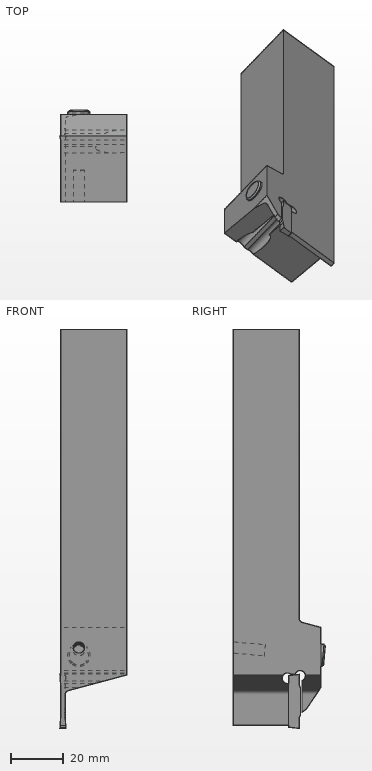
import cadquery as cq
import math

TOP_Z = 152.4
SHANK_SIDE = 25.3
HOLDER_BOTTOM_Z = 1.2
JAW_BACK_Y = 33.5
SLOPE_ANGLE = 15.0
SHOULDER_Z = 40.8
JAW_CORNER_Z = 15.7
JAW_NOSE_Y = 28.0
JAW_NOSE_Z = 7.5
JAW_TIP_Z = 6.1
HEAD_FILLET = 1.5

BLADE_THICKNESS = 1.8
UNDERSIDE_Z = 20.4

SEAT_Y = 21.2
JAW_GRIP_Y = 26.2
SEAT_TOP_Z = 20.7
RELIEF_RADIUS = 2.0
RELIEF_CENTERS = [(20.7, 19.2), (25.6, 20.1)]

SCREW_X = 7.0
SCREW_HOLE_Z = 31.0
SCREW_TILT = 5.0
SCREW_HOLE_RADIUS = 2.1
SCREW_HOLE_DEPTH = 12.2
SCREW_HEAD_RADIUS = 4.3
SCREW_HEAD_HEIGHT = 3.8
SCREW_HEAD_TOP = 35.0
SCREW_HEAD_CHAMFER = 0.6

EDGE_Y = 25.3
INSERT_BACK_Y = 25.8
INSERT_CLEARANCE_Z = 0.5
INSERT_STEP_START = 4.1
INSERT_STEP_END = 5.2
FLARE_OVERHANG = 0.3
FLARE_DEPTH_Y = 1.7

SLOPE = math.tan(math.radians(SLOPE_ANGLE))


def side_prism(points, x_start, x_end):
    """Extrude an outline given as (y, z) points from x_start to x_end."""
    plane = cq.Workplane("YZ", origin=(x_start, 0, 0))
    return plane.polyline(points).close().extrude(x_end - x_start)


def make_blank():
    shoulder_edge_z = SHOULDER_Z - (JAW_BACK_Y - SHANK_SIDE) * SLOPE
    profile = [
        (0, HOLDER_BOTTOM_Z),
        (SEAT_Y, HOLDER_BOTTOM_Z),
        (JAW_GRIP_Y, JAW_TIP_Z),
        (JAW_NOSE_Y, JAW_NOSE_Z),
        (JAW_BACK_Y, JAW_CORNER_Z),
        (JAW_BACK_Y, shoulder_edge_z),
        (SHANK_SIDE, SHOULDER_Z),
        (SHANK_SIDE, TOP_Z),
        (0, TOP_Z),
    ]
    blank = side_prism(profile, 0, SHANK_SIDE)
    shoulder_point = (SHANK_SIDE / 2, SHANK_SIDE, SHOULDER_Z)
    return blank.edges(cq.selectors.NearestToPointSelector(shoulder_point)).fillet(HEAD_FILLET)


def make_blade_clearance():
    """Block below the sloping underside that leaves the blade."""
    root_z = UNDERSIDE_Z - (SHANK_SIDE - BLADE_THICKNESS) * SLOPE
    outline = [
        (BLADE_THICKNESS, 0),
        (SHANK_SIDE, 0),
        (SHANK_SIDE, UNDERSIDE_Z),
        (BLADE_THICKNESS, root_z),
    ]
    block = cq.Workplane("XZ").polyline(outline).close().extrude(-JAW_BACK_Y)
    root_point = (BLADE_THICKNESS, JAW_BACK_Y / 2, root_z)
    return block.edges(cq.selectors.NearestToPointSelector(root_point)).fillet(HEAD_FILLET)


def make_insert_pocket():
    pocket = side_prism(
        [(SEAT_Y, 0), (JAW_GRIP_Y, 0), (JAW_GRIP_Y, SEAT_TOP_Z), (SEAT_Y, SEAT_TOP_Z)], 0, SHANK_SIDE
    )
    holes = cq.Workplane("YZ").pushPoints(RELIEF_CENTERS).circle(RELIEF_RADIUS).extrude(SHANK_SIDE)
    return pocket.union(holes)


def screw_plane():
    """Plane on the front face, with its normal along the tilted screw axis."""
    tilt = math.radians(SCREW_TILT)
    return cq.Plane(
        origin=(SCREW_X, 0, SCREW_HOLE_Z),
        xDir=(1, 0, 0),
        normal=(0, math.cos(tilt), -math.sin(tilt)),
    )


def make_screw_hole():
    start = cq.Workplane(screw_plane()).workplane(offset=-SCREW_HOLE_RADIUS)
    return start.circle(SCREW_HOLE_RADIUS).extrude(SCREW_HOLE_DEPTH + SCREW_HOLE_RADIUS)


def make_screw_head():
    base = cq.Workplane(screw_plane()).workplane(offset=SCREW_HEAD_TOP - SCREW_HEAD_HEIGHT)
    head = base.circle(SCREW_HEAD_RADIUS).extrude(SCREW_HEAD_HEIGHT)
    return head.faces(">Y").chamfer(SCREW_HEAD_CHAMFER)


def make_holder():
    holder = make_blank().cut(make_blade_clearance()).cut(make_insert_pocket())
    return holder.cut(make_screw_hole()).union(make_screw_head())


def make_flare(side_x, tip_x):
    """Three-sided flare on one side of the lower end, highest at the cutting corner."""
    root_y = EDGE_Y - FLARE_DEPTH_Y
    root_z = INSERT_CLEARANCE_Z * FLARE_DEPTH_Y / (EDGE_Y - SEAT_Y)
    tip = cq.Vector(tip_x, EDGE_Y, 0)
    corner = cq.Vector(side_x, EDGE_Y, 0)
    front = cq.Vector(side_x, root_y, root_z)
    top = cq.Vector(side_x, EDGE_Y, INSERT_STEP_START)
    triangles = [
        (corner, front, top),
        (corner, front, tip),
        (corner, top, tip),
        (front, top, tip),
    ]
    faces = [cq.Face.makeFromWires(cq.Wire.makePolygon(points, close=True)) for points in triangles]
    return cq.Workplane(cq.Solid.makeSolid(cq.Shell.makeShell(faces)))


def make_insert():
    outline = [
        (SEAT_Y, INSERT_CLEARANCE_Z),
        (EDGE_Y, 0),
        (EDGE_Y, INSERT_STEP_START),
        (INSERT_BACK_Y, INSERT_STEP_END),
        (INSERT_BACK_Y, SEAT_TOP_Z - INSERT_STEP_END),
        (EDGE_Y, SEAT_TOP_Z - INSERT_STEP_START),
        (EDGE_Y, SEAT_TOP_Z),
        (SEAT_Y, SEAT_TOP_Z - INSERT_CLEARANCE_Z),
    ]
    insert = side_prism(outline, 0, BLADE_THICKNESS)
    flare_sides = [(0, -FLARE_OVERHANG), (BLADE_THICKNESS, BLADE_THICKNESS + FLARE_OVERHANG)]
    for side_x, tip_x in flare_sides:
        lower_flare = make_flare(side_x, tip_x)
        upper_flare = lower_flare.mirror("XY", (0, 0, SEAT_TOP_Z / 2))
        insert = insert.union(lower_flare).union(upper_flare)
    return insert


holder = make_holder()
insert = make_insert()
result = cq.Compound.makeCompound([holder.solids().val(), insert.solids().val()])